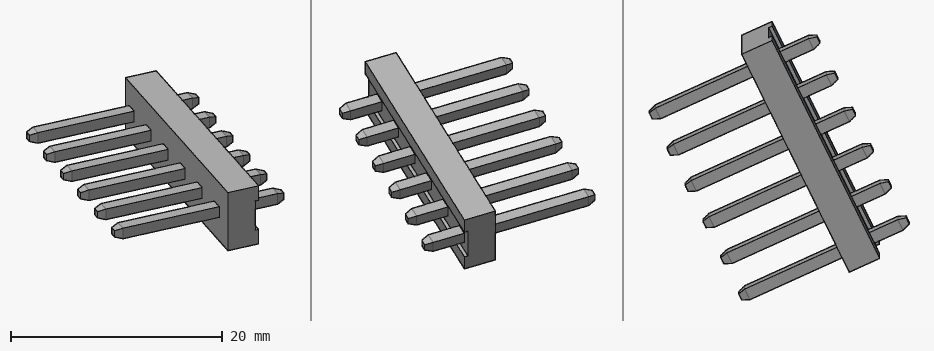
import cadquery as cq

body_length = 23.75
body_depth = 3.18
body_height = 6.35
groove_height = 3.18
groove_depth = 0.35

pin_count = 6
pin_pitch = 3.95
first_pin_offset = 1.45
pin_width = 1.16
front_reach = 10.72
pin_length = 17.5
tip_length = 0.75
tip_width = 0.7


def make_housing():
    bar = cq.Workplane("XY").box(body_length, body_depth, body_height, centered=(True, False, True))
    groove = (
        cq.Workplane("XY")
        .box(body_length, groove_depth, groove_height, centered=(True, False, True))
        .translate((0, body_depth - groove_depth, 0))
    )
    return bar.cut(groove)


def make_tip():
    """Pyramid frustum that narrows toward -Y, with its wide end at Y = 0."""
    return (
        cq.Workplane("XZ")
        .rect(pin_width, pin_width)
        .workplane(offset=tip_length)
        .rect(tip_width, tip_width)
        .loft(ruled=True)
    )


def make_pin():
    """Pin on the Y axis with its front tip at Y = -front_reach."""
    shank_length = pin_length - 2 * tip_length
    shank_front = tip_length - front_reach
    shank_back = shank_front + shank_length
    shank = (
        cq.Workplane("XY")
        .box(pin_width, shank_length, pin_width, centered=(True, False, True))
        .translate((0, shank_front, 0))
    )
    front_tip = make_tip().translate((0, shank_front, 0))
    back_tip = make_tip().mirror("XZ").translate((0, shank_back, 0))
    return shank.union(front_tip).union(back_tip)


result = make_housing()
first_pin_x = first_pin_offset - body_length / 2
pin = make_pin()
for index in range(pin_count):
    result = result.union(pin.translate((first_pin_x + index * pin_pitch, 0, 0)))